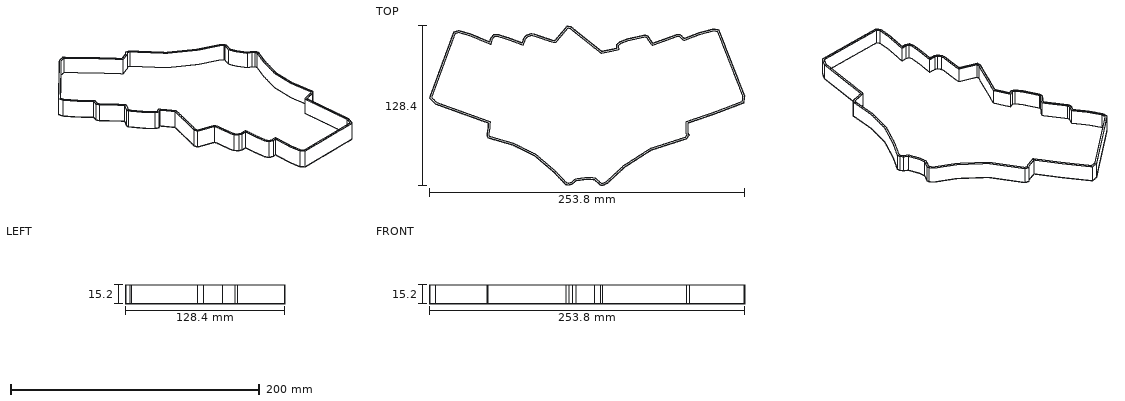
import cadquery as cq
tray_height = 15.2
wall_thickness = 1.5
floor_thickness = 1.5

centre_peak = [(-17.8, 62.5), (-16.2, 64.2), (-13.0, 63.7), (-10.7, 61.7), (11.7, 44.0), (19.3, 45.5), (23.8, 46.5)]
right_upper_steps = [
    (23.5, 49.2), (26.1, 51.5), (32.0, 53.8), (46.7, 57.0), (49.0, 56.0),
    (52.0, 51.5), (53.0, 50.5), (72.0, 57.3), (74.8, 57.3), (78.1, 54.3), (90.0, 58.9), (101.7, 62.0), (106.0, 61.1),
]
right_end = [(126.9, 7.9), (126.0, 2.3), (102.8, -6.5)]
right_lower_step = [(81.2, -14.0), (81.2, -21.8), (82.2, -23.5), (80.0, -26.6)]
right_lower_flank = [(51.5, -35.8), (30.2, -49.5), (16.2, -62.5)]
bottom_notch = [
    (12.5, -64.2), (10.7, -64.0), (5.8, -59.5), (0.5, -59.0),
    (-9.0, -60.5), (-12.0, -63.0), (-14.7, -64.0), (-17.3, -63.7),
]
left_lower_flank = [(-27.1, -53.3), (-42.4, -40.3), (-60.0, -31.7), (-80.0, -26.0)]
left_lower_step = [(-80.7, -23.8), (-80.7, -22.5), (-80.0, -18.0), (-79.7, -14.0)]
left_end = [(-122.0, 1.3), (-126.9, 6.0), (-126.5, 7.5), (-107.5, 59.4), (-103.5, 60.6), (-94.0, 57.8)]
left_upper_steps = [
    (-78.7, 51.5), (-78.0, 54.3), (-75.4, 57.3), (-71.5, 57.3), (-62.0, 54.3),
    (-52.5, 50.7), (-51.0, 54.8), (-49.0, 56.8), (-45.5, 58.0), (-43.0, 57.8), (-28.0, 52.8), (-26.1, 52.5),
]
outline = (
    centre_peak + right_upper_steps + right_end + right_lower_step + right_lower_flank
    + bottom_notch + left_lower_flank + left_lower_step + left_end + left_upper_steps
)


def make_blank():
    """Solid prism with the full outline."""
    return cq.Workplane("XY").polyline(outline).close().extrude(tray_height)


def make_cavity():
    """Open-topped hollow, inset from the outline by the wall thickness."""
    return (
        cq.Workplane("XY")
        .workplane(offset=floor_thickness)
        .polyline(outline)
        .close()
        .offset2D(-wall_thickness, "intersection")
        .extrude(tray_height - floor_thickness)
    )


result = make_blank().cut(make_cavity())